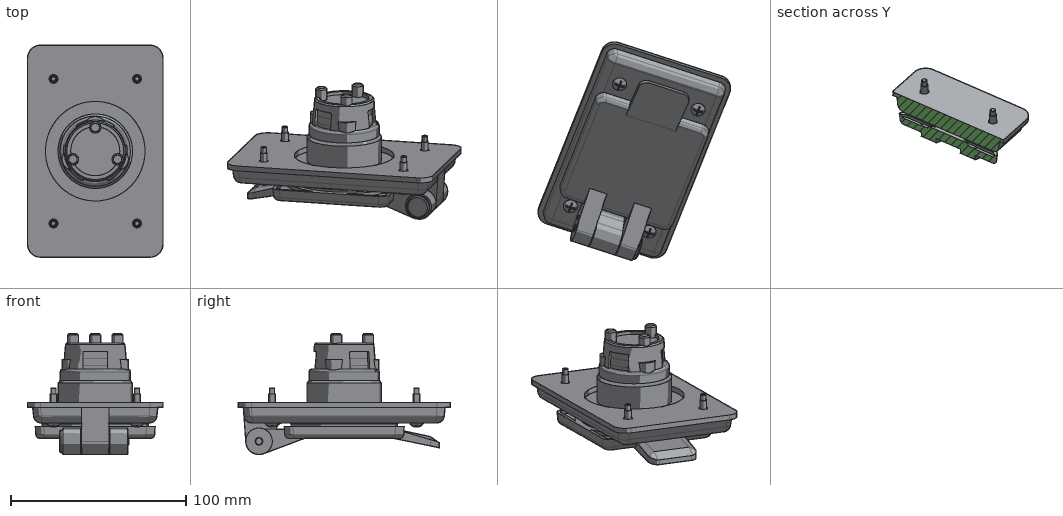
import cadquery as cq
import math


plate_width = 77.32
plate_length = 120.98
plate_thickness = 2.9
plate_corner_radius = 7.5
recess_radius = 28.4
recess_depth = 3.0

tray_ledge = 2.9
tray_bottom = -11.85
tray_draft_angle = 6.0
tray_corner_radius = 4.6
tray_edge_radius = 4.5

lid_top = -13.75
lid_bottom = -20.65
lid_size = 68.5
lid_draft_angle = 4.0
lid_corner_radius = 5.0
lid_edge_radius = 2.5
seal_radius = 30.4
seal_lip_radius = 30.8
seal_lip_height = 0.55
lid_pocket_wall = 2.0
lid_pocket_depth = 2.0
lid_pocket_inner_radius = 33.8
lid_pocket_corner_radius = 3.0

hinge_y = -48.6
hinge_z = -22.25
barrel_radius = 7.6
arm_width = 15.6
arm_outer_y = -57.6
arm_inner_y = -38.6
ear_inner_x = 8.3
barrel_half_length = 18.35
web_half_length = 18.75
web_top = -15.3
web_root_y = -22.7
arm_inner_radius = tray_bottom - web_top
arm_root_y = arm_inner_y + arm_inner_radius
pin_radius = 4.0
pin_head_radius = 6.55
pin_head_height = 2.05
pin_head_chamfer = 0.8
pin_tail_radius = 2.15
pin_tail_height = 0.85
pin_tail_chamfer = 0.3

tab_width = 30.0
tab_slope_width = 4.0
tab_corner_radius = 5.0
tab_tip_y = 54.2
tab_root_y = 28.1
tab_tip_bottom = -26.0
tab_tip_top = -23.1
tab_middle_top = [(34.0, -16.3), (49.0, -19.5)]
tab_side_top = [(34.0, -16.9), (49.6, -21.4)]

screw_x = 23.8
screw_y = 41.2
screw_shank_radius = 1.95
screw_shank_top = 4.85
screw_tip_radius = 1.55
screw_tip_top = 8.25
screw_tip_chamfer = 0.35
screw_hole_radius = 2.5
screw_head_radius = 4.0
screw_head_height = 2.4
screw_slot_width = 0.7
screw_slot_depth = 1.0

base_radius = 21.25
base_top = 10.9
collar_radius = 20.0
collar_foot = 12.5
collar_top = 19.0
collar_edge_radius = 1.65
nose_foot_radius = 18.2
nose_top_radius = 17.0
nose_top = 33.9
nose_chamfer = 0.85
face_recess_radius = 14.0
face_recess_depth = 1.8

contact_circle_radius = 13.5
contact_angles = [90, 200, 340]
contact_radius = 3.2
contact_top = 39.06
contact_chamfer = 0.8
lug_radius = 6.2
lug_top = 24.3

front_window_angle = 270
front_window_width = 14.2
side_window_angles = [32, 148]
side_window_width = 13.1
window_top = 29.0
window_corner_radius = 1.1
window_floor_upper_radius = 16.0
window_floor_lower_radius = 16.4
window_step_upper = 25.0
window_step_lower = 20.9


def prism_along_x(outline, x_start, x_end):
    """Extrude a closed YZ outline from x_start to x_end."""
    return outline.extrude(x_end - x_start).translate((x_start, 0, 0))


def x_cylinder(radius, x_start, x_end):
    """A cylinder on the hinge axis."""
    circle = cq.Workplane("YZ").center(hinge_y, hinge_z).circle(radius)
    return prism_along_x(circle, x_start, x_end)


def tapered_block(width, length, top, bottom, draft_angle, corner_radius, edge_radius):
    """A block narrowing downwards, with rounded corners and a rounded bottom edge."""
    block = (
        cq.Workplane("XY", origin=(0, 0, top))
        .rect(width, length)
        .extrude(bottom - top, taper=draft_angle)
    )
    block = block.edges("not(|X or |Y)").fillet(corner_radius)
    return block.faces("<Z").edges().fillet(edge_radius)


def make_plate():
    plate = (
        cq.Workplane("XY", origin=(0, 0, -plate_thickness))
        .rect(plate_width, plate_length)
        .extrude(plate_thickness)
        .edges("|Z")
        .fillet(plate_corner_radius)
    )
    tray = tapered_block(
        plate_width - 2 * tray_ledge,
        plate_length - 2 * tray_ledge,
        -plate_thickness,
        tray_bottom,
        tray_draft_angle,
        tray_corner_radius,
        tray_edge_radius,
    )
    recess = cq.Workplane("XY").circle(recess_radius).extrude(-recess_depth)
    return plate.union(tray).cut(recess)


def make_screw():
    """A screw on the Z axis: stepped shank above the tray, slotted domed head below it."""
    shank = (
        cq.Workplane("XY", origin=(0, 0, tray_bottom))
        .circle(screw_shank_radius)
        .extrude(screw_shank_top - tray_bottom)
    )
    tip = (
        cq.Workplane("XY", origin=(0, 0, screw_shank_top))
        .circle(screw_tip_radius)
        .extrude(screw_tip_top - screw_shank_top)
        .faces(">Z")
        .chamfer(screw_tip_chamfer)
    )
    dome_radius = (screw_head_radius**2 + screw_head_height**2) / (2 * screw_head_height)
    half_sweep = math.asin(screw_head_radius / dome_radius) / 2
    head_bottom = tray_bottom - screw_head_height
    dome_mid_x = dome_radius * math.sin(half_sweep)
    dome_mid_z = head_bottom + dome_radius * (1 - math.cos(half_sweep))
    head = (
        cq.Workplane("XZ")
        .moveTo(0, head_bottom)
        .threePointArc((dome_mid_x, dome_mid_z), (screw_head_radius, tray_bottom))
        .lineTo(0, tray_bottom)
        .close()
        .revolve(360, (0, 0), (0, 1))
    )
    for slot_angle in (0, 90):
        slot = (
            cq.Workplane("XY", origin=(0, 0, head_bottom))
            .rect(2 * screw_head_radius, screw_slot_width)
            .extrude(screw_slot_depth)
            .rotate((0, 0, 0), (0, 0, 1), slot_angle)
        )
        head = head.cut(slot)
    return shank.union(tip).union(head)


def make_lid():
    lid = tapered_block(
        lid_size, lid_size, lid_top, lid_bottom, lid_draft_angle, lid_corner_radius, lid_edge_radius
    )
    pocket_size = lid_size - 2 * lid_pocket_wall
    pocket_core = (
        cq.Workplane("XY", origin=(0, 0, lid_top))
        .circle(lid_pocket_inner_radius)
        .extrude(-lid_pocket_depth)
    )
    corner_pockets = (
        cq.Workplane("XY", origin=(0, 0, lid_top))
        .rect(pocket_size, pocket_size)
        .extrude(-lid_pocket_depth)
        .edges("|Z")
        .fillet(lid_pocket_corner_radius)
        .cut(pocket_core)
    )
    seal = (
        cq.Workplane("XZ")
        .moveTo(0, lid_top)
        .lineTo(seal_radius, lid_top)
        .lineTo(seal_radius, tray_bottom - seal_lip_height)
        .lineTo(seal_lip_radius, tray_bottom)
        .lineTo(0, tray_bottom)
        .close()
        .revolve(360, (0, 0), (0, 1))
    )
    return lid.cut(corner_pockets).union(seal)


def tab_section(x, top_points):
    """A closed YZ wire of the tab at one X."""
    points = [(tab_root_y, lid_bottom), (tab_root_y, top_points[0][1]), *top_points]
    points += [(tab_tip_y, tab_tip_top), (tab_tip_y, tab_tip_bottom)]
    return cq.Wire.makePolygon([cq.Vector(x, y, z) for y, z in points], close=True)


def make_tab():
    """A finger tab sloping down to its tip, its top falling away towards both sides."""
    edge_x = tab_width / 2
    ridge_x = edge_x - tab_slope_width
    sections = [
        tab_section(-edge_x, tab_side_top),
        tab_section(-ridge_x, tab_middle_top),
        tab_section(ridge_x, tab_middle_top),
        tab_section(edge_x, tab_side_top),
    ]
    body = cq.Workplane("XY").add(cq.Solid.makeLoft(sections, True))
    plan = (
        cq.Workplane("XY", origin=(0, tab_tip_y / 2, tab_tip_bottom))
        .rect(tab_width, tab_tip_y)
        .extrude(-tab_tip_bottom)
        .edges("|Z and >Y")
        .fillet(tab_corner_radius)
    )
    return body.intersect(plan)


def make_arm():
    """The arm that comes down from the tray and wraps the middle of the hinge pin."""
    arc_mid_y = arm_inner_y + arm_inner_radius * (1 - math.cos(math.radians(45)))
    arc_mid_z = web_top + arm_inner_radius * math.sin(math.radians(45))
    outline = (
        cq.Workplane("YZ")
        .moveTo(arm_outer_y, -plate_thickness)
        .lineTo(hinge_y - barrel_radius, hinge_z)
        .threePointArc((hinge_y, hinge_z - barrel_radius), (hinge_y + barrel_radius, hinge_z))
        .lineTo(arm_inner_y, web_top)
        .threePointArc((arc_mid_y, arc_mid_z), (arm_root_y, tray_bottom))
        .lineTo(arm_root_y, -plate_thickness)
        .close()
    )
    return prism_along_x(outline, -arm_width / 2, arm_width / 2)


def make_ear():
    """The lid's ear on the +X side: a web from the lid running into a barrel."""
    root_dy = web_root_y - hinge_y
    root_dz = lid_bottom - hinge_z
    tangent_angle = math.atan2(root_dz, root_dy) - math.acos(barrel_radius / math.hypot(root_dy, root_dz))
    tangent_y = hinge_y + barrel_radius * math.cos(tangent_angle)
    tangent_z = hinge_z + barrel_radius * math.sin(tangent_angle)
    outline = (
        cq.Workplane("YZ")
        .moveTo(hinge_y, hinge_z)
        .lineTo(tangent_y, tangent_z)
        .lineTo(web_root_y, lid_bottom)
        .lineTo(web_root_y, web_top)
        .lineTo(hinge_y, web_top)
        .close()
    )
    web = prism_along_x(outline, ear_inner_x, web_half_length)
    head_clearance = x_cylinder(barrel_radius, barrel_half_length, web_half_length)
    barrel = x_cylinder(barrel_radius, ear_inner_x, barrel_half_length)
    return web.cut(head_clearance).union(barrel)


def make_hinge_pin():
    shaft = x_cylinder(pin_radius, -barrel_half_length, barrel_half_length)
    head = x_cylinder(pin_head_radius, -barrel_half_length - pin_head_height, -barrel_half_length)
    head = head.faces("<X").chamfer(pin_head_chamfer)
    tail = x_cylinder(pin_tail_radius, barrel_half_length, barrel_half_length + pin_tail_height)
    tail = tail.faces(">X").chamfer(pin_tail_chamfer)
    return shaft.union(head).union(tail)


def make_cover():
    """The flip cover: plate with tray, screws, lid, tab and hinge."""
    cover = make_plate()
    screw = make_screw()
    hole = cq.Workplane("XY").circle(screw_hole_radius).extrude(-recess_depth)
    for x in (-screw_x, screw_x):
        for y in (-screw_y, screw_y):
            cover = cover.cut(hole.translate((x, y, 0))).union(screw.translate((x, y, 0)))
    ear = make_ear()
    cover = cover.union(make_lid()).union(make_tab()).union(make_arm())
    return cover.union(ear).union(ear.mirror("YZ")).union(make_hinge_pin())


def make_inlet_core():
    """Base, chamfered shoulder, collar with rounded rim and conical nose, all turned."""
    rim_inset = collar_edge_radius * (1 - math.cos(math.radians(45)))
    return (
        cq.Workplane("XZ")
        .moveTo(0, -recess_depth)
        .lineTo(base_radius, -recess_depth)
        .lineTo(base_radius, base_top)
        .lineTo(collar_radius, collar_foot)
        .lineTo(collar_radius, collar_top - collar_edge_radius)
        .threePointArc(
            (collar_radius - rim_inset, collar_top - rim_inset),
            (collar_radius - collar_edge_radius, collar_top),
        )
        .lineTo(nose_foot_radius, collar_top)
        .lineTo(nose_top_radius, nose_top - nose_chamfer)
        .lineTo(nose_top_radius - nose_chamfer, nose_top)
        .lineTo(face_recess_radius, nose_top)
        .lineTo(face_recess_radius, nose_top - face_recess_depth)
        .lineTo(0, nose_top - face_recess_depth)
        .close()
        .revolve(360, (0, 0), (0, 1))
    )


def make_window_cutter(width):
    """A block with rounded top corners reaching out along +X, cut back to the stepped window floor."""
    height = window_top - collar_top
    block = (
        cq.Workplane("XY", origin=(collar_radius / 2, 0, collar_top))
        .rect(collar_radius, width)
        .extrude(height)
        .edges("|X and >Z")
        .fillet(window_corner_radius)
    )
    floor = (
        cq.Workplane("XZ")
        .moveTo(0, collar_top)
        .lineTo(window_floor_lower_radius, collar_top)
        .lineTo(window_floor_lower_radius, window_step_lower)
        .lineTo(window_floor_upper_radius, window_step_upper)
        .lineTo(window_floor_upper_radius, window_top)
        .lineTo(0, window_top)
        .close()
        .revolve(360, (0, 0), (0, 1))
    )
    return block.cut(floor)


def make_inlet():
    """The round inlet standing in the recess of the cover plate."""
    inlet = make_inlet_core()
    front_window = make_window_cutter(front_window_width)
    inlet = inlet.cut(front_window.rotate((0, 0, 0), (0, 0, 1), front_window_angle))
    side_window = make_window_cutter(side_window_width)
    for angle in side_window_angles:
        inlet = inlet.cut(side_window.rotate((0, 0, 0), (0, 0, 1), angle))
    pin_foot = nose_top - face_recess_depth
    contact = (
        cq.Workplane("XY", origin=(contact_circle_radius, 0, pin_foot))
        .circle(contact_radius)
        .extrude(contact_top - pin_foot)
        .faces(">Z")
        .chamfer(contact_chamfer)
    )
    lug = (
        cq.Workplane("XY", origin=(contact_circle_radius, 0, collar_foot))
        .circle(lug_radius)
        .extrude(lug_top - collar_foot)
    )
    for angle in contact_angles:
        inlet = inlet.union(contact.union(lug).rotate((0, 0, 0), (0, 0, 1), angle))
    return inlet


cover = make_cover()
inlet = make_inlet()

result = cq.Compound.makeCompound([*cover.vals(), *inlet.vals()])